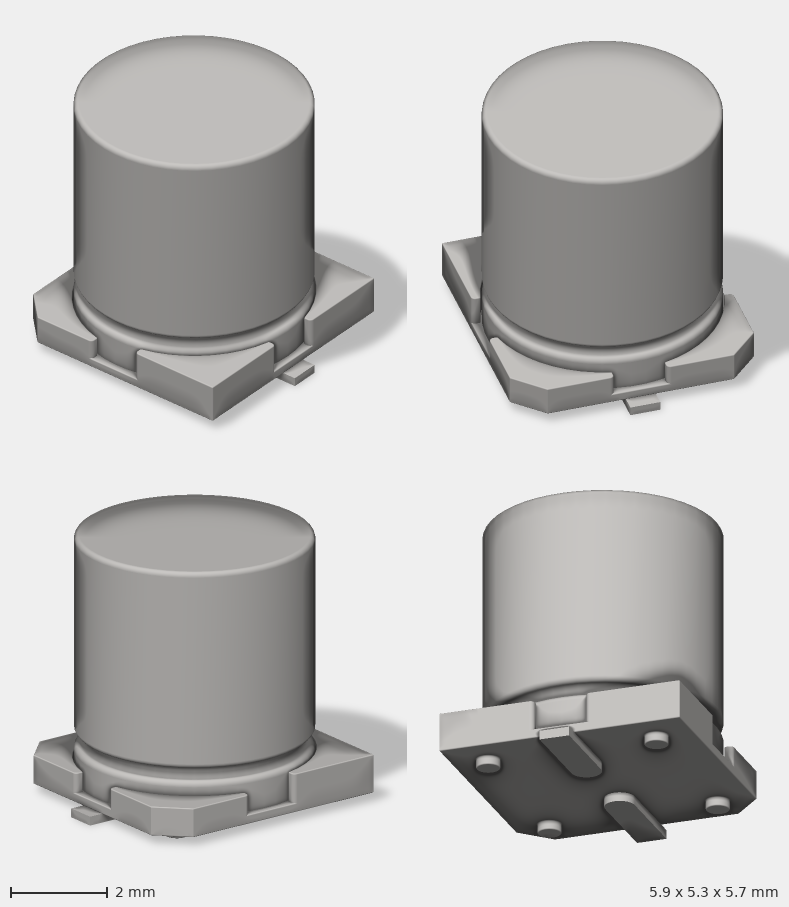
import cadquery as cq
terminal_span = 5.9
base_side = 5.3
overall_height = 5.7

standoff = 0.195
base_floor_top = 0.39
low_block_top = 0.825
tall_block_top = 1.03
corner_chamfer = 0.625
socket_diameter = 5.05
slot_width = 1.145
block_tip_radius = 0.095
socket_tip_radius = 0.035
edge_break = 0.025

can_diameter = 5.0
can_top_radius = 0.105
shoulder_radius = 0.125
groove_diameter = 4.5
groove_bottom = 1.125
groove_height = 0.28
groove_radius = 0.1

terminal_width = 0.65
terminal_inner_end = 0.69
pin_diameter = 0.5
pin_spacing = 3.705


def centered_box(half_x, half_y, bottom, top):
    """Selector for what lies in a box centered on the Z axis."""
    return cq.selectors.BoxSelector((-half_x, -half_y, bottom), (half_x, half_y, top))


def make_pins():
    """Four round standoffs under the base corners."""
    return (
        cq.Workplane("XY")
        .rect(pin_spacing, pin_spacing, forConstruction=True)
        .vertices()
        .circle(pin_diameter / 2)
        .extrude(standoff)
    )


def make_base():
    """Square base with a round socket and a slot through the middle of each side."""
    base = (
        cq.Workplane("XY", origin=(0, 0, standoff))
        .rect(base_side, base_side)
        .extrude(tall_block_top - standoff)
        .edges("|Z and <X")
        .chamfer(corner_chamfer)
        .edges("|Z")
        .fillet(edge_break)
    )

    low_side_cut = (
        cq.Workplane("XY", origin=(-base_side / 2, 0, low_block_top))
        .rect(base_side, base_side)
        .extrude(tall_block_top - low_block_top)
    )
    base = base.cut(low_side_cut)

    clearing_depth = tall_block_top - base_floor_top
    floor_plane = cq.Workplane("XY", origin=(0, 0, base_floor_top))
    clearing = (
        floor_plane.circle(socket_diameter / 2).extrude(clearing_depth)
        .union(floor_plane.rect(base_side, slot_width).extrude(clearing_depth))
        .union(floor_plane.rect(slot_width, base_side).extrude(clearing_depth))
    )
    base = base.cut(clearing)

    reach = base_side / 2 + edge_break
    tip_half_width = slot_width / 2 + edge_break
    socket_reach = socket_diameter / 2
    for radius, limit in ((socket_tip_radius, socket_reach), (block_tip_radius, reach)):
        for half_x, half_y in ((limit, tip_half_width), (tip_half_width, limit)):
            tips = centered_box(half_x, half_y, base_floor_top, tall_block_top)
            base = base.edges("|Z").edges(tips).fillet(radius)

    floor_level = centered_box(reach, reach, base_floor_top - edge_break, base_floor_top + edge_break)
    for side in ("<X", ">X", "<Y", ">Y"):
        base = base.faces(side).edges(floor_level).fillet(edge_break)

    for height in (low_block_top, tall_block_top):
        level = centered_box(reach, reach, height - edge_break, height + edge_break)
        base = base.faces("+Z").faces(level).edges().fillet(edge_break)

    base = base.union(make_pins())
    for height in (standoff, 0):
        level = centered_box(reach, reach, height - edge_break, height + edge_break)
        base = base.faces("-Z").faces(level).edges().fillet(edge_break)
    return base


def make_can():
    """Turned can with a rounded top and a rolled groove near the base."""
    can_radius = can_diameter / 2
    neck_radius = groove_diameter / 2
    groove_top = groove_bottom + groove_height
    profile = (
        cq.Workplane("XZ")
        .moveTo(0, base_floor_top)
        .lineTo(can_radius, base_floor_top)
        .lineTo(can_radius, groove_bottom - shoulder_radius)
        .tangentArcPoint((can_radius - shoulder_radius, groove_bottom), relative=False)
        .lineTo(neck_radius + groove_radius, groove_bottom)
        .tangentArcPoint((neck_radius, groove_bottom + groove_radius), relative=False)
        .lineTo(neck_radius, groove_top - groove_radius)
        .tangentArcPoint((neck_radius + groove_radius, groove_top), relative=False)
        .lineTo(can_radius - groove_radius, groove_top)
        .tangentArcPoint((can_radius, groove_top + groove_radius), relative=False)
        .lineTo(can_radius, overall_height - can_top_radius)
        .tangentArcPoint((can_radius - can_top_radius, overall_height), relative=False)
        .lineTo(0, overall_height)
        .close()
    )
    return profile.revolve(360, (0, 0, 0), (0, 1, 0))


def make_terminals():
    """Flat leads along X, each with a half-round inner end."""
    half_width = terminal_width / 2
    arc_start = terminal_inner_end + half_width
    lead = (
        cq.Workplane("XY")
        .moveTo(terminal_span / 2, -half_width)
        .lineTo(terminal_span / 2, half_width)
        .lineTo(arc_start, half_width)
        .threePointArc((terminal_inner_end, 0), (arc_start, -half_width))
        .close()
        .extrude(standoff)
    )
    return lead.union(lead.mirror("YZ"))


result = make_base().union(make_can()).union(make_terminals())